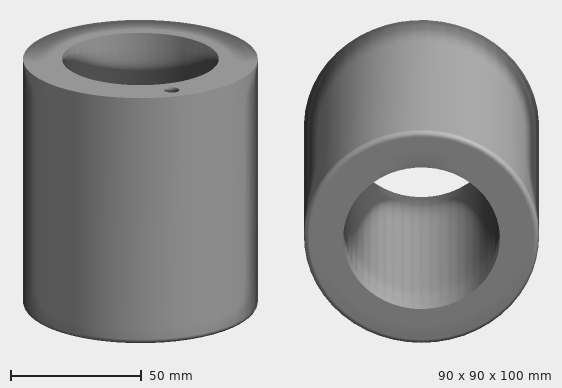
import cadquery as cq

height = 100.0
outer_diameter = 90.0
bore_diameter = 60.0
bottom_fillet = 2.0

pin_hole_diameter = 6.0
pin_hole_depth = 10.0
pin_hole_x = (outer_diameter + bore_diameter) / 4

body = cq.Workplane("XY").circle(outer_diameter / 2).extrude(height)
body = body.faces("<Z").edges().fillet(bottom_fillet)

bore = cq.Workplane("XY").circle(bore_diameter / 2).extrude(height)

pin_hole = (
    cq.Workplane("XY", origin=(pin_hole_x, 0, height))
    .circle(pin_hole_diameter / 2)
    .extrude(-pin_hole_depth)
)

result = body.cut(bore).cut(pin_hole)